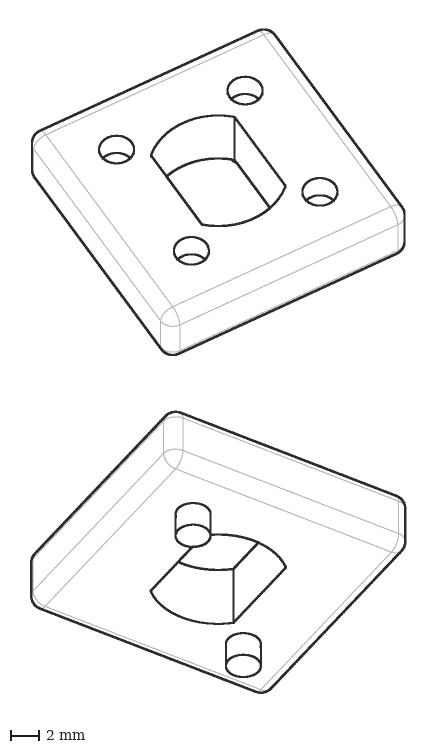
import cadquery as cq
import math

plate_side = 20.0
plate_thickness = 5.0
edge_radius = 1.0

opening_diameter = 10.0
opening_flat_distance = 6.9

pin_diameter = 2.5
pin_length = 2.0
pin_circle_diameter = 15.0
socket_depth = pin_length

half_spacing = pin_circle_diameter / 2 * math.cos(math.pi / 4)
diagonal_positions = [(-half_spacing, half_spacing), (half_spacing, -half_spacing)]
other_diagonal_positions = [(-half_spacing, -half_spacing), (half_spacing, half_spacing)]


def pin_cylinders(positions, bottom_z, height):
    """Upright cylinders of the pin diameter at the given XY positions, rising from bottom_z."""
    return (
        cq.Workplane("XY", origin=(0, 0, bottom_z))
        .pushPoints(positions)
        .circle(pin_diameter / 2)
        .extrude(height)
    )


plate = (
    cq.Workplane("XY")
    .box(plate_side, plate_side, plate_thickness, centered=(True, True, False))
    .edges()
    .fillet(edge_radius)
)

round_hole = cq.Workplane("XY").circle(opening_diameter / 2).extrude(plate_thickness)
flat_limits = cq.Workplane("XY").rect(opening_diameter, opening_flat_distance).extrude(plate_thickness)
opening = round_hole.intersect(flat_limits)

sockets = pin_cylinders(
    diagonal_positions + other_diagonal_positions, plate_thickness - socket_depth, socket_depth
)
pins = pin_cylinders(diagonal_positions, -pin_length, pin_length)

result = plate.cut(opening).cut(sockets).union(pins)